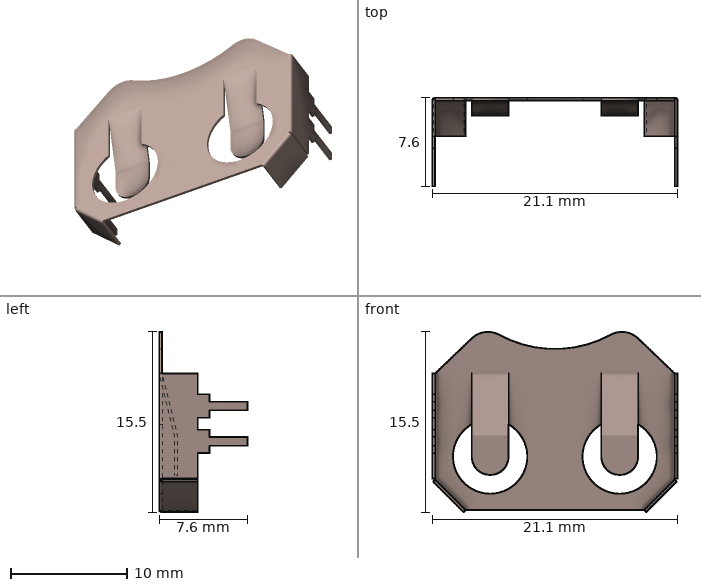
import cadquery as cq
import math


width = 21.08
depth = 7.6
height = 15.5
sheet = 0.25
plate_half = width / 2 - sheet
corner_drop = sheet * math.sqrt(0.5)
plate_top = height - corner_drop

corner_cut = 2.61
side_top = 11.75
shoulder_x = 5.75
shoulder_radius = 2.0
dip_radius = 10.0

flange_depth = 3.33
side_bottom = 2.7
pad_depth = 4.35
pad_width = 2.02
pin_width = 0.75
pin_pitch = 3.04
pin_middle = 7.42

tongue_x = 5.57
tongue_width = 3.18
window_radius = 3.18
window_z = 4.6
tongue_depth = 1.55
upper_bend_z = 11.68
lower_bend_z = 6.4
upper_bend_radius = 0.5
lower_bend_radius = sheet


def both_sides(shape):
    """Return a right-hand shape joined with its mirror image."""
    return shape.union(shape.mirror("YZ"))


def shoulder_point(angle):
    """Point on the right shoulder arc, at an angle measured from +X."""
    x = shoulder_x + shoulder_radius * math.cos(angle)
    return x, plate_top - shoulder_radius + shoulder_radius * math.sin(angle)


def make_plate():
    run = shoulder_x - plate_half
    rise = plate_top - shoulder_radius - side_top
    slope_angle = math.atan2(-rise, -run) + math.acos(shoulder_radius / math.hypot(run, rise))
    dip_angle = math.acos(-shoulder_x / (dip_radius + shoulder_radius))
    dip_rise = math.sqrt((dip_radius + shoulder_radius) ** 2 - shoulder_x ** 2)
    dip_bottom = plate_top - shoulder_radius + dip_rise - dip_radius

    slope_end = shoulder_point(slope_angle)
    crest = shoulder_point(math.pi / 2)
    dip_end = shoulder_point(dip_angle)
    right_half = (
        cq.Workplane("XZ")
        .lineTo(plate_half - corner_cut, 0)
        .lineTo(plate_half, corner_cut)
        .lineTo(plate_half, side_top)
        .lineTo(*slope_end)
        .threePointArc(crest, dip_end)
        .radiusArc((0, dip_bottom), dip_radius)
        .close()
        .extrude(sheet)
    )
    return both_sides(right_half)


def make_flange(length):
    """Flange along +Z whose inner face is on X = 0, with a rounded outer bend."""
    arc_middle = sheet * math.sqrt(0.5)
    return (
        cq.Workplane("XY")
        .threePointArc((arc_middle, arc_middle - sheet), (sheet, -sheet))
        .lineTo(sheet, -flange_depth)
        .lineTo(0, -flange_depth)
        .close()
        .extrude(length)
    )


def make_finger(finger_depth, finger_width, z):
    """Flat finger in the side flange, reaching forward to finger_depth."""
    length = finger_depth - sheet
    return cq.Workplane("XY").box(sheet, length, finger_width).translate(
        (plate_half + sheet / 2, -sheet - length / 2, z)
    )


def make_side_flange():
    flange = make_flange(side_top - side_bottom).translate((plate_half, 0, side_bottom))
    for z in (pin_middle - pin_pitch / 2, pin_middle + pin_pitch / 2):
        flange = flange.union(make_finger(pad_depth, pad_width, z))
        flange = flange.union(make_finger(depth, pin_width, z))
    return flange


def make_corner_flange():
    flange = make_flange(corner_cut * math.sqrt(2))
    return flange.rotate((0, 0, 0), (0, 1, 0), 45).translate((plate_half - corner_cut, 0, 0))


tongue_angle = math.atan2(tongue_depth - sheet, upper_bend_z - lower_bend_z)
half_tangent = math.tan(tongue_angle / 2)
tongue_top = upper_bend_z + upper_bend_radius * half_tangent
back_drop = sheet * half_tangent


def make_window():
    """Round hole with the slot above it that the tongue is cut from."""
    hole = cq.Workplane("XZ").center(tongue_x, window_z).circle(window_radius).extrude(sheet)
    slot_height = tongue_top - window_z
    slot = (
        cq.Workplane("XZ")
        .center(tongue_x, window_z + slot_height / 2)
        .rect(tongue_width, slot_height)
        .extrude(sheet)
    )
    return hole.union(slot)


def make_tongue():
    root_z = tongue_top + sheet
    tip_z = window_z - tongue_width / 2
    tongue_left = tongue_x - tongue_width / 2
    bent_strip = (
        cq.Workplane("YZ", origin=(tongue_left, 0, 0))
        .polyline([
            (0, root_z),
            (0, upper_bend_z - back_drop),
            (sheet - tongue_depth, lower_bend_z - back_drop),
            (sheet - tongue_depth, tip_z),
            (-tongue_depth, tip_z),
            (-tongue_depth, lower_bend_z),
            (-sheet, upper_bend_z),
            (-sheet, root_z),
        ])
        .close()
        .extrude(tongue_width)
    )
    bends = (
        (0, upper_bend_z - back_drop, upper_bend_radius + sheet),
        (-sheet, upper_bend_z, upper_bend_radius),
        (-tongue_depth, lower_bend_z, lower_bend_radius),
    )
    for y, z, radius in bends:
        bend_edge = cq.selectors.NearestToPointSelector((tongue_x, y, z))
        bent_strip = bent_strip.edges("|X").edges(bend_edge).fillet(radius)

    outline = (
        cq.Workplane("XZ")
        .moveTo(tongue_left, root_z)
        .lineTo(tongue_left, window_z)
        .threePointArc((tongue_x, tip_z), (tongue_left + tongue_width, window_z))
        .lineTo(tongue_left + tongue_width, root_z)
        .close()
        .extrude(tongue_depth)
    )
    return bent_strip.intersect(outline)


result = (
    make_plate()
    .union(both_sides(make_side_flange()))
    .union(both_sides(make_corner_flange()))
    .cut(both_sides(make_window()))
    .union(both_sides(make_tongue()))
)